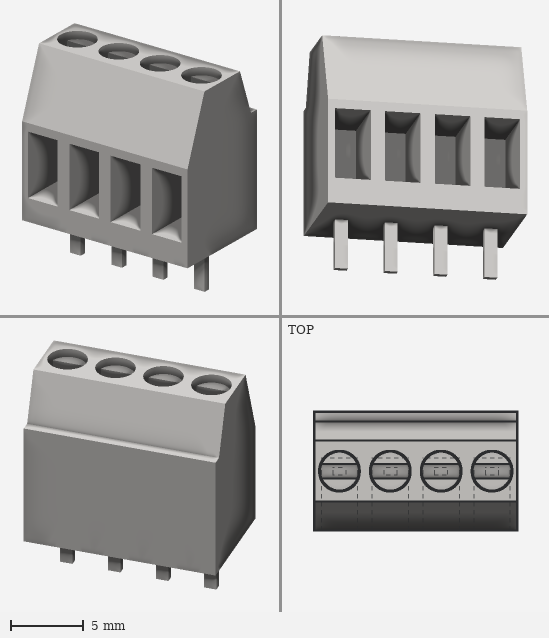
import cadquery as cq

pole_count = 4
pitch = 3.5
housing_length = pole_count * pitch
pole_positions = [(i + 0.5) * pitch for i in range(pole_count)]

housing_depth = 8.2
housing_height = 12.6
front_wall_height = 7.45
ledge_height = 9.0
ledge_width = 0.7
top_front_y = 2.0
top_back_y = 6.2
pole_y = (top_front_y + top_back_y) / 2

entry_width = 2.5
entry_height = 5.0
entry_floor_z = 1.8
entry_depth = 5.0

screw_hole_diameter = 2.8
screw_hole_depth = 3.0
screw_diameter = 2.7
screw_recess = 0.6
screw_height = screw_hole_depth - screw_recess
screw_slot_width = 1.0
screw_slot_depth = 0.6

pin_width = 0.9
pin_thickness = 0.5
pin_length = 3.5


def make_housing():
    """Block with sloped upper faces, wire entries in front and screw holes on top."""
    profile = [
        (0, 0),
        (housing_depth, 0),
        (housing_depth, ledge_height),
        (housing_depth - ledge_width, ledge_height),
        (top_back_y, housing_height),
        (top_front_y, housing_height),
        (0, front_wall_height),
    ]
    housing = cq.Workplane("YZ").polyline(profile).close().extrude(housing_length)
    for x in pole_positions:
        entry = cq.Workplane("XY").box(
            entry_width, entry_depth, entry_height, centered=(True, False, False)
        )
        screw_hole = cq.Workplane("XY").circle(screw_hole_diameter / 2).extrude(-screw_hole_depth)
        housing = housing.cut(entry.translate((x, 0, entry_floor_z)))
        housing = housing.cut(screw_hole.translate((x, pole_y, housing_height)))
    return housing


def make_screw(x):
    """Slotted screw standing on the floor of its hole, with the slot along X."""
    screw = cq.Workplane("XY").circle(screw_diameter / 2).extrude(screw_height)
    slot = cq.Workplane("XY").box(
        screw_diameter, screw_slot_width, screw_slot_depth, centered=(True, True, False)
    )
    screw = screw.cut(slot.translate((0, 0, screw_height - screw_slot_depth)))
    return screw.translate((x, pole_y, housing_height - screw_hole_depth))


def make_pin(x):
    """Flat solder pin hanging from the seating face, below its screw."""
    pin = cq.Workplane("XY").rect(pin_width, pin_thickness).extrude(-pin_length)
    return pin.translate((x, pole_y, 0))


housing = make_housing()
screws = [make_screw(x) for x in pole_positions]
pins = [make_pin(x) for x in pole_positions]

result = cq.Compound.makeCompound(
    [housing.val()] + [screw.val() for screw in screws] + [pin.val() for pin in pins]
)